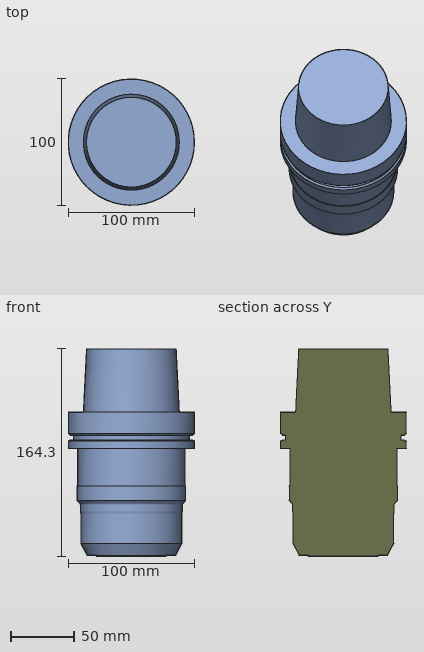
import cadquery as cq
import math


shank_length = 50.0
shank_top_diameter = 71.0
shank_base_diameter = 76.0

flange_diameter = 100.0
flange_thickness = 29.0
groove_diameter = 92.0
groove_lip_diameter = 96.6
groove_top_depth = 16.8
groove_bottom_depth = 23.0
groove_upper_chamfer = 1.6
groove_lower_chamfer = 1.0

neck_diameter = 85.0
collar_diameter = 86.0
collar_top_depth = 58.4
collar_bottom_depth = 70.0
ring_diameter = 80.7
ring_top_depth = 73.7
ring_bottom_depth = 78.9
barrel_diameter = 80.0
collar_fillet_radius = 1.9
collar_fillet_angle = 45.0
ring_cone_bottom_depth = 80.4

nose_cone_top_depth = 104.0
nose_cone_bottom_depth = 113.5
nose_cone_end_diameter = 70.0
end_boss_diameter = 55.1
total_height = 164.3
end_depth = total_height - shank_length


def frustum(top_depth, bottom_depth, top_diameter, bottom_diameter):
    """Coaxial solid of revolution between two depths below the flange face."""
    profile = [
        (0, -top_depth),
        (top_diameter / 2, -top_depth),
        (bottom_diameter / 2, -bottom_depth),
        (0, -bottom_depth),
    ]
    return cq.Workplane("XZ").polyline(profile).close().revolve(360, (0, 0), (0, 1))


def cylinder(top_depth, bottom_depth, diameter):
    return frustum(top_depth, bottom_depth, diameter, diameter)


def make_shank():
    return frustum(-shank_length, 0, shank_top_diameter, shank_base_diameter)


def make_flange():
    lip_top = groove_top_depth + groove_upper_chamfer
    lip_bottom = groove_bottom_depth - groove_lower_chamfer
    return (
        cylinder(0, groove_top_depth, flange_diameter)
        .union(frustum(groove_top_depth, lip_top, flange_diameter, groove_lip_diameter))
        .union(cylinder(lip_top, lip_bottom, groove_diameter))
        .union(frustum(lip_bottom, groove_bottom_depth, groove_lip_diameter, flange_diameter))
        .union(cylinder(groove_bottom_depth, flange_thickness, flange_diameter))
    )


def make_collar_underside():
    """Cone below the collar, blended into the ring by a concave arc."""
    ring_radius = ring_diameter / 2
    arc_center_radius = ring_radius + collar_fillet_radius

    def arc_point(angle_degrees):
        angle = math.radians(angle_degrees)
        return (
            arc_center_radius - collar_fillet_radius * math.cos(angle),
            -ring_top_depth + collar_fillet_radius * math.sin(angle),
        )

    return (
        cq.Workplane("XZ")
        .moveTo(0, -collar_bottom_depth)
        .lineTo(collar_diameter / 2, -collar_bottom_depth)
        .lineTo(*arc_point(collar_fillet_angle))
        .threePointArc(arc_point(collar_fillet_angle / 2), (ring_radius, -ring_top_depth))
        .lineTo(0, -ring_top_depth)
        .close()
        .revolve(360, (0, 0), (0, 1))
    )


def make_body():
    return (
        cylinder(flange_thickness, collar_top_depth, neck_diameter)
        .union(cylinder(collar_top_depth, collar_bottom_depth, collar_diameter))
        .union(make_collar_underside())
        .union(cylinder(ring_top_depth, ring_bottom_depth, ring_diameter))
        .union(frustum(ring_bottom_depth, ring_cone_bottom_depth, ring_diameter, barrel_diameter))
        .union(cylinder(ring_cone_bottom_depth, nose_cone_top_depth, barrel_diameter))
    )


def make_nose():
    cone = frustum(
        nose_cone_top_depth, nose_cone_bottom_depth, barrel_diameter, nose_cone_end_diameter
    )
    return cone.union(cylinder(nose_cone_bottom_depth, end_depth, end_boss_diameter))


result = make_shank().union(make_flange()).union(make_body()).union(make_nose())